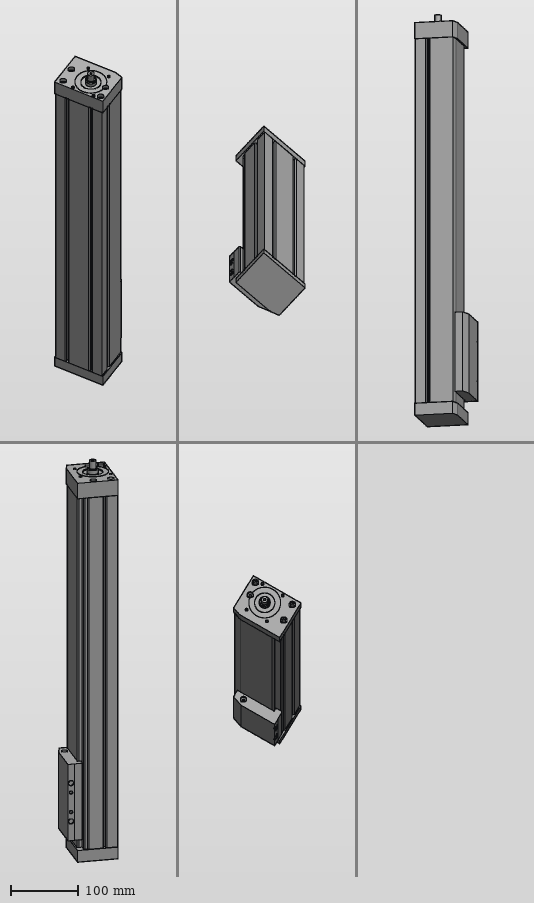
import cadquery as cq


TOTAL_HEIGHT = 614.0
BLOCK_WIDTH = 82.0
BLOCK_DEPTH = 62.0
BOTTOM_BLOCK_HEIGHT = 18.5
TOP_BLOCK_BASE_Z = 572.0
TOP_BLOCK_TOP_Z = 597.0
BLOCK_SLOPE_WIDTH = 13.5
BLOCK_SLOPE_DROP = 4.0

SHAFT_X = 46.5
SHAFT_Y = 27.0
SHAFT_DIAMETER = 10.0
SHAFT_CENTER_HOLE_DIAMETER = 3.25
SHAFT_CENTER_HOLE_DEPTH = 3.0
COLLAR_DIAMETER = 16.5
COLLAR_TIP_DIAMETER = 13.5
COLLAR_RIM_Z = TOP_BLOCK_TOP_Z + 3.5
COLLAR_TIP_Z = COLLAR_RIM_Z + 1.0
PILOT_DIAMETER = 47.0
PILOT_DEPTH = 0.5
BEARING_RECESS_DIAMETER = 30.0
BEARING_RECESS_DEPTH = 2.5

MOTOR_HOLE_DIAMETER = 4.1
MOTOR_HOLE_MOUTH_DEPTH = 1.0
MOTOR_HOLE_CORE_DIAMETER = 3.25
MOTOR_HOLE_DEPTH = 9.0
MOTOR_HOLE_PITCH_X = 35.0
MOTOR_HOLE_PITCH_Y = 46.0
SCREW_HEAD_DIAMETER = 10.0
SCREW_HEAD_DEPTH = 6.0
SCREW_HOLE_DIAMETER = 5.7
SCREW_POSITIONS = [(8.5, 35.5), (10.0, 8.5), (74.0, 7.5)]
PORT_X = 71.0
PORT_Y = 27.5
PORT_DIAMETER = 9.0
PORT_DEPTH = 6.0
PORT_BORE_DIAMETER = 4.0

HOUSING_INSET = 2.0
HOUSING_BACK_INSET = 2.5
HOUSING_LEFT = HOUSING_INSET
HOUSING_RIGHT = BLOCK_WIDTH - HOUSING_INSET
HOUSING_BACK = BLOCK_DEPTH - HOUSING_BACK_INSET
STEP_START_Y = 44.0
STEP_END_Y = 46.0
STEP_INSET = 1.0
LEDGE_Y = 50.0
LEDGE_CHAMFER = 2.0
CHANNEL_FLOOR_X = 15.0
CHANNEL_LIP_X = 12.0
CHANNEL_LIP_Y = 57.0
CHANNEL_LIP_CHAMFER = HOUSING_BACK - CHANNEL_LIP_Y
SLOT_MOUTH = 7.0
SLOT_THROAT = 3.0
SLOT_LEAD_DEPTH = 2.0
SLOT_DEPTH = 6.0
FRONT_SLOT_PITCH = 40.5
SIDE_SLOT_Y = 19.5

CARRIAGE_BASE_Z = 35.0
CARRIAGE_LENGTH = 120.5
CARRIAGE_BACK = 77.0
CARRIAGE_RIGHT = 74.0
CARRIAGE_SLOPE_WIDTH = 16.5
CARRIAGE_SLOPE_DROP = 5.5
SKIRT_WIDTH = 11.0
SKIRT_FRONT = 54.0
SKIRT_CHAMFER = 1.0
SKIRT_INSET = 0.3
SKIRT_STEP_Y = 67.0
END_HOLE_X = 59.5
END_HOLE_Y = 67.0
END_HOLE_DIAMETER = 9.0
END_HOLE_DEPTH = 6.0
END_HOLE_BORE_DIAMETER = 4.0
END_HOLE_BORE_DEPTH = 12.0
SIDE_HOLE_Y = 72.0
SIDE_HOLE_DEPTH = 2.5
SIDE_HOLE_CENTER_Z = 95.0
LARGE_SIDE_HOLE_DIAMETER = 8.0
LARGE_SIDE_HOLE_OFFSET = 30.0
SMALL_SIDE_HOLE_DIAMETER = 5.0
SMALL_SIDE_HOLE_OFFSET = 15.5


def cylinder_along_z(x, y, base_z, diameter, height):
    return cq.Workplane("XY", origin=(x, y, base_z)).circle(diameter / 2).extrude(height)


def make_end_block(base_z, height):
    """Rectangular block whose back right corner slopes down."""
    outline = [
        (0, 0),
        (BLOCK_WIDTH, 0),
        (BLOCK_WIDTH, BLOCK_DEPTH - BLOCK_SLOPE_DROP),
        (BLOCK_WIDTH - BLOCK_SLOPE_WIDTH, BLOCK_DEPTH),
        (0, BLOCK_DEPTH),
    ]
    return cq.Workplane("XY", origin=(0, 0, base_z)).polyline(outline).close().extrude(height)


def cut_from_top(block, x, y, diameter, depth):
    """Sink a round hole into the upper face of the top block."""
    return block.cut(cylinder_along_z(x, y, TOP_BLOCK_TOP_Z - depth, diameter, depth))


def make_top_block():
    height = TOP_BLOCK_TOP_Z - TOP_BLOCK_BASE_Z
    block = make_end_block(TOP_BLOCK_BASE_Z, height)
    block = cut_from_top(block, SHAFT_X, SHAFT_Y, PILOT_DIAMETER, PILOT_DEPTH)
    block = cut_from_top(block, SHAFT_X, SHAFT_Y, BEARING_RECESS_DIAMETER, BEARING_RECESS_DEPTH)
    block = cut_from_top(block, SHAFT_X, SHAFT_Y, COLLAR_DIAMETER, height)
    for side_x in (-1, 1):
        for side_y in (-1, 1):
            x = SHAFT_X + side_x * MOTOR_HOLE_PITCH_X / 2
            y = SHAFT_Y + side_y * MOTOR_HOLE_PITCH_Y / 2
            block = cut_from_top(block, x, y, MOTOR_HOLE_DIAMETER, MOTOR_HOLE_MOUTH_DEPTH)
            block = cut_from_top(block, x, y, MOTOR_HOLE_CORE_DIAMETER, MOTOR_HOLE_DEPTH)
    for x, y in SCREW_POSITIONS:
        block = cut_from_top(block, x, y, SCREW_HEAD_DIAMETER, SCREW_HEAD_DEPTH)
        block = cut_from_top(block, x, y, SCREW_HOLE_DIAMETER, height)
    block = cut_from_top(block, PORT_X, PORT_Y, PORT_DIAMETER, PORT_DEPTH)
    return cut_from_top(block, PORT_X, PORT_Y, PORT_BORE_DIAMETER, height)


def make_shaft():
    """Round shaft with a tapered collar that fills the bore of the top block."""
    profile = [
        (0, TOP_BLOCK_BASE_Z),
        (COLLAR_DIAMETER / 2, TOP_BLOCK_BASE_Z),
        (COLLAR_DIAMETER / 2, COLLAR_RIM_Z),
        (COLLAR_TIP_DIAMETER / 2, COLLAR_TIP_Z),
        (SHAFT_DIAMETER / 2, COLLAR_TIP_Z),
        (SHAFT_DIAMETER / 2, TOTAL_HEIGHT),
        (0, TOTAL_HEIGHT),
    ]
    shaft = cq.Workplane("XZ").polyline(profile).close().revolve(360, (0, 0), (0, 1))
    shaft = shaft.translate((SHAFT_X, SHAFT_Y, 0))
    hole_base_z = TOTAL_HEIGHT - SHAFT_CENTER_HOLE_DEPTH
    center_hole = cylinder_along_z(
        SHAFT_X, SHAFT_Y, hole_base_z, SHAFT_CENTER_HOLE_DIAMETER, SHAFT_CENTER_HOLE_DEPTH
    )
    return shaft.cut(center_hole)


def make_slot_cutter():
    """Slot with a chamfered mouth, centered on the Z axis and opening toward -Y."""
    outline = [
        (-SLOT_MOUTH / 2, 0),
        (SLOT_MOUTH / 2, 0),
        (SLOT_THROAT / 2, SLOT_LEAD_DEPTH),
        (SLOT_THROAT / 2, SLOT_DEPTH),
        (-SLOT_THROAT / 2, SLOT_DEPTH),
        (-SLOT_THROAT / 2, SLOT_LEAD_DEPTH),
    ]
    length = TOP_BLOCK_BASE_Z - BOTTOM_BLOCK_HEIGHT
    return cq.Workplane("XY", origin=(0, 0, BOTTOM_BLOCK_HEIGHT)).polyline(outline).close().extrude(length)


def make_housing():
    """Extrusion with a dovetail channel for the carriage skirt and slots on three sides."""
    outline = [
        (HOUSING_LEFT, 0),
        (HOUSING_RIGHT, 0),
        (HOUSING_RIGHT, BLOCK_DEPTH - BLOCK_SLOPE_DROP),
        (BLOCK_WIDTH - BLOCK_SLOPE_WIDTH, HOUSING_BACK),
        (CHANNEL_LIP_X + CHANNEL_LIP_CHAMFER, HOUSING_BACK),
        (CHANNEL_LIP_X, CHANNEL_LIP_Y),
        (CHANNEL_FLOOR_X, LEDGE_Y + LEDGE_CHAMFER),
        (HOUSING_LEFT + STEP_INSET + LEDGE_CHAMFER, LEDGE_Y + LEDGE_CHAMFER),
        (HOUSING_LEFT + STEP_INSET, LEDGE_Y),
        (HOUSING_LEFT + STEP_INSET, STEP_END_Y),
        (HOUSING_LEFT, STEP_START_Y),
    ]
    length = TOP_BLOCK_BASE_Z - BOTTOM_BLOCK_HEIGHT
    housing = cq.Workplane("XY", origin=(0, 0, BOTTOM_BLOCK_HEIGHT)).polyline(outline).close().extrude(length)

    slot = make_slot_cutter()
    for side in (-1, 1):
        housing = housing.cut(slot.translate((BLOCK_WIDTH / 2 + side * FRONT_SLOT_PITCH / 2, 0, 0)))
    left_slot = slot.rotate((0, 0, 0), (0, 0, 1), -90)
    right_slot = slot.rotate((0, 0, 0), (0, 0, 1), 90)
    housing = housing.cut(left_slot.translate((HOUSING_LEFT, SIDE_SLOT_Y, 0)))
    return housing.cut(right_slot.translate((HOUSING_RIGHT, SIDE_SLOT_Y, 0)))


def make_carriage():
    """Plate resting on the back of the housing, with a skirt reaching into its channel."""
    outline = [
        (SKIRT_INSET + SKIRT_CHAMFER, SKIRT_FRONT),
        (SKIRT_WIDTH, SKIRT_FRONT),
        (SKIRT_WIDTH, HOUSING_BACK),
        (CARRIAGE_RIGHT, HOUSING_BACK),
        (CARRIAGE_RIGHT, CARRIAGE_BACK - CARRIAGE_SLOPE_DROP),
        (CARRIAGE_RIGHT - CARRIAGE_SLOPE_WIDTH, CARRIAGE_BACK),
        (0, CARRIAGE_BACK),
        (0, SKIRT_STEP_Y),
        (SKIRT_INSET, SKIRT_STEP_Y),
        (SKIRT_INSET, SKIRT_FRONT + SKIRT_CHAMFER),
    ]
    carriage = (
        cq.Workplane("XY", origin=(0, 0, CARRIAGE_BASE_Z)).polyline(outline).close().extrude(CARRIAGE_LENGTH)
    )

    carriage_top_z = CARRIAGE_BASE_Z + CARRIAGE_LENGTH
    for diameter, depth in (
        (END_HOLE_DIAMETER, END_HOLE_DEPTH),
        (END_HOLE_BORE_DIAMETER, END_HOLE_BORE_DEPTH),
    ):
        hole = cylinder_along_z(END_HOLE_X, END_HOLE_Y, carriage_top_z - depth, diameter, depth)
        carriage = carriage.cut(hole)

    for offset, diameter in (
        (LARGE_SIDE_HOLE_OFFSET, LARGE_SIDE_HOLE_DIAMETER),
        (SMALL_SIDE_HOLE_OFFSET, SMALL_SIDE_HOLE_DIAMETER),
    ):
        for side in (-1, 1):
            center = (0, SIDE_HOLE_Y, SIDE_HOLE_CENTER_Z + side * offset)
            hole = cq.Workplane("YZ", origin=center).circle(diameter / 2).extrude(SIDE_HOLE_DEPTH)
            carriage = carriage.cut(hole)
    return carriage


bottom_block = make_end_block(0, BOTTOM_BLOCK_HEIGHT)
housing = make_housing()
top_block = make_top_block()
shaft = make_shaft()
carriage = make_carriage()

result = cq.Compound.makeCompound(
    [bottom_block.val(), housing.val(), top_block.val(), shaft.val(), carriage.val()]
)